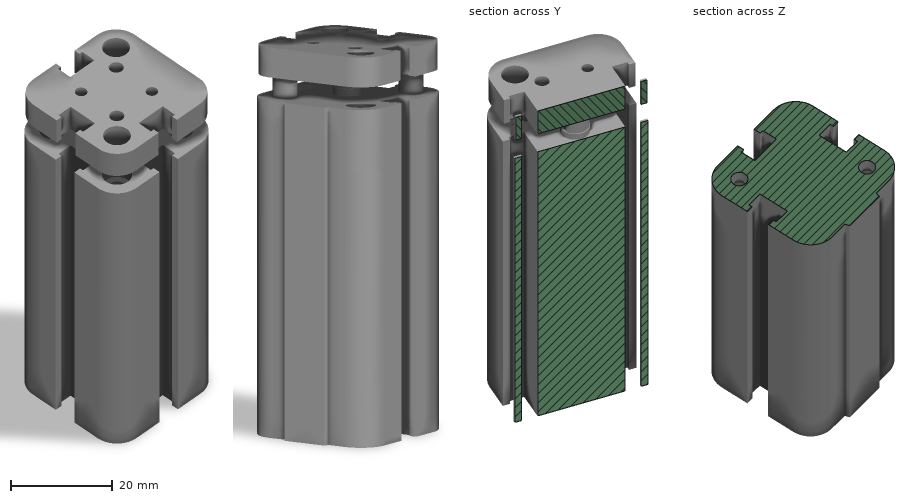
import cadquery as cq
import math

housing_width = 29.0
housing_height = 68.0
end_cap_height = 12.5
tube_height = housing_height - 2 * end_cap_height

rail_base_width = 10.0
rail_top_width = 9.5
rail_height = 1.0

overall_height = 78.5
plate_thickness = 6.0
plate_inset = 0.25
plate_width = housing_width - 2 * plate_inset
plate_bottom = overall_height - plate_thickness

corner_offset = 9.0
guide_corners = [(-corner_offset, -corner_offset), (corner_offset, corner_offset)]
screw_corners = [(-corner_offset, corner_offset), (corner_offset, -corner_offset)]

slot_mouth_width = 5.2
slot_inner_width = 6.8
slot_lip = 1.6
slot_depth = 5.0
slot_angles = [0, 90, -90]

plate_access_diameter = 5.5
counterbore_diameter = 6.0
counterbore_depth = 3.5
screw_hole_diameter = 3.3
screw_hole_depth = 10.0

pitch_circle_diameter = 14.0
pitch_offset = pitch_circle_diameter / 2 * math.sqrt(0.5)
pin_hole_diameter = 3.0
thread_hole_diameter = 2.5

rod_diameter = 6.0
neck_diameter = 5.8
rod_step_height = 1.5
rod_chamfer = (rod_diameter - neck_diameter) / 2
neck_bottom = housing_height + rod_step_height
neck_flats_width = 5.0
guide_pin_diameter = 5.0


def rounded_square(width, bottom, height):
    corner_radius = width / 2 - corner_offset
    block = cq.Workplane("XY").workplane(offset=bottom).rect(width, width).extrude(height)
    return block.edges("|Z").fillet(corner_radius)


def cylinders(points, diameter, bottom, top):
    circles = cq.Workplane("XY").workplane(offset=bottom).pushPoints(points).circle(diameter / 2)
    return circles.extrude(top - bottom)


def cut_slots(block):
    """Cut a T-slot over the full height into each slotted side."""
    side = -housing_width / 2
    inner_depth = slot_depth - slot_lip
    inner_middle = side + slot_lip + inner_depth / 2
    mouth = cq.Workplane("XY").center(0, side).rect(slot_mouth_width, 2 * slot_depth)
    inner = cq.Workplane("XY").center(0, inner_middle).rect(slot_inner_width, inner_depth)
    slot = mouth.extrude(overall_height).union(inner.extrude(overall_height))
    for angle in slot_angles:
        block = block.cut(slot.rotate((0, 0, 0), (0, 0, 1), angle))
    return block


def housing_section(bottom, height):
    """One length of the slotted profile with its rail."""
    side = housing_width / 2
    rail = (
        cq.Workplane("XY")
        .workplane(offset=bottom)
        .moveTo(-rail_base_width / 2, 0)
        .lineTo(-rail_base_width / 2, side)
        .lineTo(-rail_top_width / 2, side + rail_height)
        .lineTo(rail_top_width / 2, side + rail_height)
        .lineTo(rail_base_width / 2, side)
        .lineTo(rail_base_width / 2, 0)
        .close()
        .extrude(height)
    )
    return cut_slots(rounded_square(housing_width, bottom, height).union(rail))


def make_housing():
    """Two end caps and a tube in one solid; the joint lines between them stay as edges."""
    body = housing_section(0, end_cap_height)
    body = body.union(housing_section(end_cap_height, tube_height), clean=False)
    top_cap = housing_section(housing_height - end_cap_height, end_cap_height)
    counterbore_floor = housing_height - counterbore_depth
    screw_hole_floor = housing_height - screw_hole_depth
    top_cap = top_cap.cut(cylinders(screw_corners, counterbore_diameter, counterbore_floor, housing_height))
    top_cap = top_cap.cut(cylinders(screw_corners, screw_hole_diameter, screw_hole_floor, housing_height))
    return body.union(top_cap, clean=False)


def make_plunger():
    """Plate, piston rod and guide pins, standing on the housing's top face."""
    plate = cut_slots(rounded_square(plate_width, plate_bottom, plate_thickness))
    plate = plate.cut(cylinders(screw_corners, plate_access_diameter, plate_bottom, overall_height))
    pin_holes = [(-pitch_offset, pitch_offset), (pitch_offset, -pitch_offset)]
    thread_holes = [(-pitch_offset, -pitch_offset), (pitch_offset, pitch_offset)]
    plate = plate.cut(cylinders(pin_holes, pin_hole_diameter, plate_bottom, overall_height))
    plate = plate.cut(cylinders(thread_holes, thread_hole_diameter, plate_bottom, overall_height))

    rod = cylinders([(0, 0)], rod_diameter, housing_height, neck_bottom)
    rod = rod.faces(">Z").chamfer(rod_chamfer)
    neck = cylinders([(0, 0)], neck_diameter, neck_bottom, plate_bottom)
    flats = cq.Workplane("XY").rect(neck_flats_width, neck_diameter).extrude(overall_height)
    pins = cylinders(guide_corners, guide_pin_diameter, housing_height, plate_bottom)
    return plate.union(rod.union(neck.intersect(flats))).union(pins)


housing = make_housing()
plunger = make_plunger()
result = cq.Compound.makeCompound([housing.val(), plunger.val()])